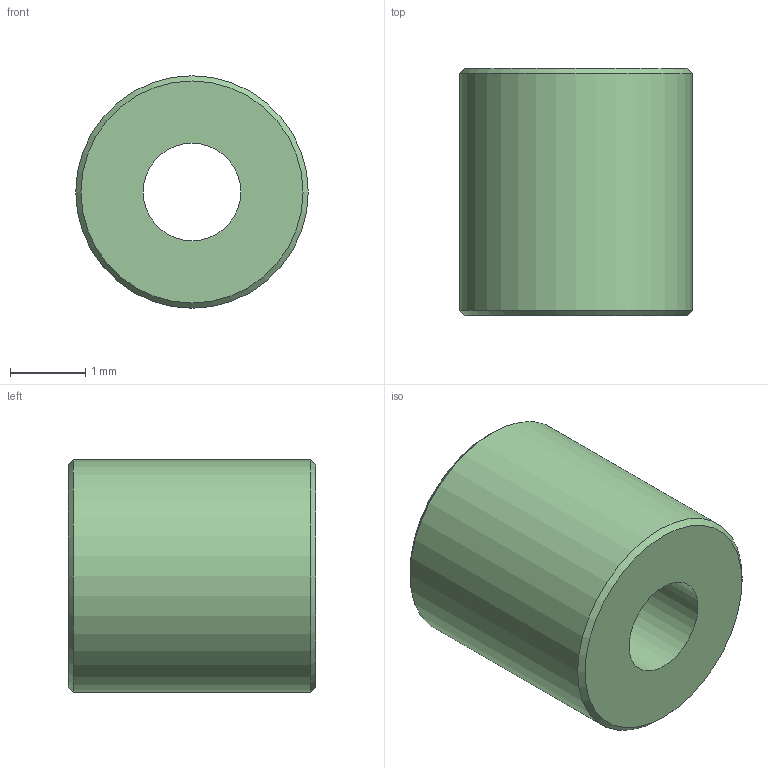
import cadquery as cq

outer_diameter = 3.1
bore_diameter = 1.3
length = 3.3
edge_chamfer = 0.07


def full_length_cylinder(diameter):
    """Solid cylinder along Y, spanning the whole length of the bushing."""
    front_face = cq.Workplane("XZ", origin=(0, -length / 2, 0))
    return front_face.circle(diameter / 2).extrude(-length)


def bushing_body():
    """Outer cylinder with the rims of both end faces chamfered."""
    return full_length_cylinder(outer_diameter).faces("<Y or >Y").edges().chamfer(edge_chamfer)


through_bore = full_length_cylinder(bore_diameter)

result = bushing_body().cut(through_bore)